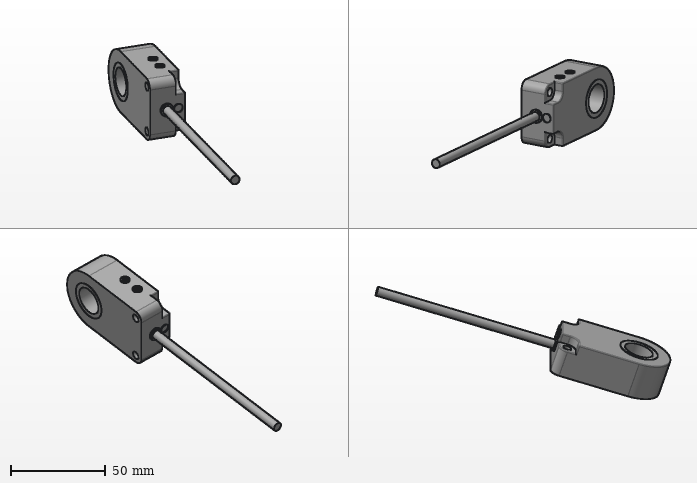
import cadquery as cq

total_length = 160.6
body_height = 35.3
body_thickness = 20.0
body_length = 60.7
corner_radius = 4.7
edge_fillet = 0.5

nose_radius = body_height / 2
end_x = body_length - nose_radius
cable_end_x = total_length - nose_radius

bore_diameter = 15.5
ring_diameter = 20.9
ring_recess = 0.2

mount_hole_diameter = 4.5
mount_x = end_x - corner_radius
mount_z = nose_radius - corner_radius

pocket_depth = 5.1
pocket_radius = 4.7

screw_x_positions = (15.0, 24.9)
screw_y = 12.7
screw_diameter = 5.1
screw_recess = 0.3
socket_diameter = 3.2
socket_depth = 1.0
socket_tip_diameter = 2.2
socket_tip_depth = 1.6

cable_y = 9.5
cable_diameter = 5.0
collar_diameter = 7.2
collar_length = 1.0
lamp_diameter = 4.8
lamp_y = 16.0
lamp_height = 0.5


def cylinder_along_y(diameter, x, z, start_y, end_y):
    """Cylinder parallel to Y between two Y positions."""
    axis_start = cq.Vector(x, start_y, z)
    return cq.Workplane(cq.Solid.makeCylinder(diameter / 2, end_y - start_y, axis_start, cq.Vector(0, 1, 0)))


def stub_along_x(diameter, y, end_position):
    """Cylinder parallel to X, rooted inside the body and ending at end_position."""
    root_x = end_x - corner_radius
    axis_start = cq.Vector(root_x, y, 0)
    return cq.Workplane(cq.Solid.makeCylinder(diameter / 2, end_position - root_x, axis_start, cq.Vector(1, 0, 0)))


def make_body():
    """Plate with a half-round nose and two rounded corners."""
    plate = (
        cq.Workplane("XZ")
        .moveTo(0, nose_radius)
        .lineTo(end_x, nose_radius)
        .lineTo(end_x, -nose_radius)
        .lineTo(0, -nose_radius)
        .threePointArc((-nose_radius, 0), (0, nose_radius))
        .close()
        .extrude(-body_thickness)
    )
    return plate.edges("|Y and >X").fillet(corner_radius)


def make_pocket():
    """Cutter for the upper relief pocket, with one rounded inner corner."""
    pocket_left = mount_x - pocket_radius
    pocket_floor = mount_z - pocket_radius
    block_size = 3 * pocket_radius
    return (
        cq.Workplane("XY")
        .box(block_size, pocket_depth, block_size, centered=False)
        .edges("|Y and <X and <Z")
        .fillet(pocket_radius)
        .translate((pocket_left, body_thickness - pocket_depth, pocket_floor))
    )


def round_outer_edges(body):
    """Fillet the back edges and the rims of the pockets."""
    margin = 0.2
    pocket_zone = cq.selectors.BoxSelector(
        (-nose_radius - margin, body_thickness - pocket_depth - margin, -nose_radius - margin),
        (end_x + margin, body_thickness + margin, nose_radius + margin),
    )
    outer_rims = body.faces(">Z or <Z or >X").edges(pocket_zone)
    return outer_rims.add(body.faces(">Y").edges()).fillet(edge_fillet)


def make_screw_recess(x):
    """Stepped cutter that leaves a sunken screw head with its socket."""
    steps = (
        (screw_diameter, screw_recess),
        (socket_diameter, socket_depth),
        (socket_tip_diameter, socket_tip_depth),
    )
    top_center = cq.Vector(x, screw_y, nose_radius)
    cutter = cq.Workplane("XY")
    for diameter, depth in steps:
        cutter = cutter.add(cq.Solid.makeCylinder(diameter / 2, depth, top_center, cq.Vector(0, 0, -1)))
    return cutter.combine()


result = make_body()

pocket = make_pocket()
result = result.cut(pocket).cut(pocket.mirror("XY"))
result = round_outer_edges(result)

result = result.cut(cylinder_along_y(bore_diameter, 0, 0, 0, body_thickness))
result = result.cut(cylinder_along_y(ring_diameter, 0, 0, 0, ring_recess))
result = result.cut(cylinder_along_y(ring_diameter, 0, 0, body_thickness - ring_recess, body_thickness))

for hole_z in (mount_z, -mount_z):
    result = result.cut(cylinder_along_y(mount_hole_diameter, mount_x, hole_z, 0, body_thickness))

for screw_x in screw_x_positions:
    result = result.cut(make_screw_recess(screw_x))

result = result.union(stub_along_x(lamp_diameter, lamp_y, end_x + lamp_height))
result = result.union(stub_along_x(collar_diameter, cable_y, end_x + collar_length))
result = result.union(stub_along_x(cable_diameter, cable_y, cable_end_x))